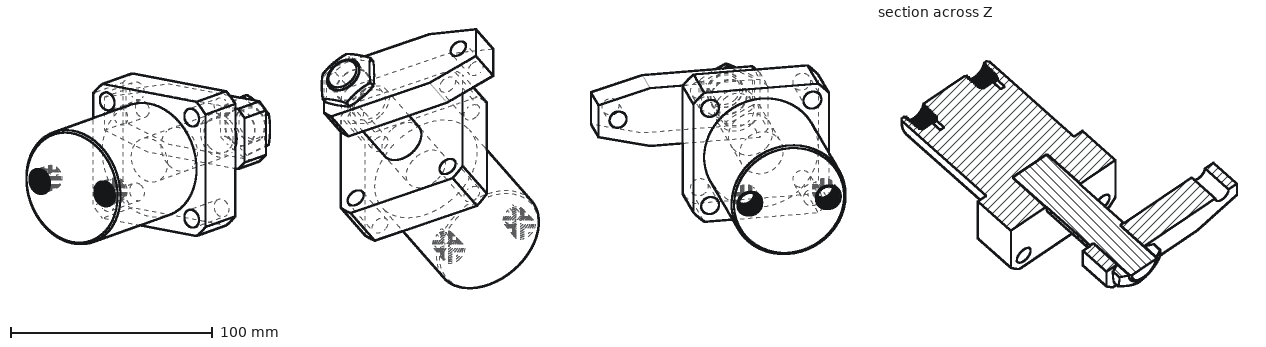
import cadquery as cq
import math


total_length = 151.0
total_width = 104.5

flange_width = 69.0
flange_thickness = 25.0
flange_corner_diameter = 90.0
mounting_hole_diameter = 9.0
mounting_hole_spacing = 52.0
barrel_diameter = 58.0
barrel_length = 65.0
barrel_chamfer = 1.0

port_spacing = 39.9
port_depth = 12.1
port_mouth_radius = 6.3
port_floor_radius = 4.8
thread_pitch = 1.4
thread_height = 0.9
thread_turns = 8
thread_end_radius = 5.9
passage_diameter = 2.3
passage_offset = 2.9
passage_depth = 6.0

rod_diameter = 22.3
rod_exposed_length = 33.0
stud_diameter = 18.0
stud_chamfer = 1.0

arm_thickness = 18.0
arm_height = 31.0
arm_tip_height = 17.0
arm_taper_start = 43.8
arm_heel = 16.0
arm_heel_chamfer = 4.1
arm_hole_diameter = 8.6
arm_hole_inset = 10.0

nut_width_across_flats = 27.0
nut_thickness = 9.0
nut_seat_radius = 9.4
nut_top_radius = 9.2
nut_rim_width = 3.2
nut_rim_start = 2.7

flange_back = barrel_length
flange_front = flange_back + flange_thickness
arm_back = flange_front + rod_exposed_length
arm_front = arm_back + arm_thickness

arm_tip = total_width - flange_width / 2


def rod_axis_plane(y):
    """Plane at height y along the rod axis: local x is X, local y is Z, normal toward -Y."""
    return cq.Plane(origin=(0, y, 0), xDir=(1, 0, 0), normal=(0, -1, 0))


def disc(y_start, y_end, diameter, x=0.0):
    """Cylinder along Y between two positions, centred at the given X and Z = 0."""
    base = cq.Workplane(rod_axis_plane(y_start)).center(x, 0)
    return base.circle(diameter / 2).extrude(y_start - y_end)


def turned(profile, x=0.0):
    """Solid of revolution about the line parallel to Y at the given X, from (radius, y) points."""
    solid = cq.Workplane("XY").polyline(profile).close().revolve(360, (0, 0, 0), (0, 1, 0))
    return solid.translate((x, 0, 0))


def make_port_cutter(x):
    """Tapered port whose thread is a row of V-shaped rings, with an off-centre oil passage."""
    mouth_taper = (port_mouth_radius - thread_end_radius) / thread_turns
    profile = [(0, 0), (port_mouth_radius, 0)]
    for turn in range(thread_turns):
        root_radius = port_mouth_radius - turn * mouth_taper
        profile.append((root_radius - thread_height, (turn + 0.5) * thread_pitch))
        profile.append((root_radius - mouth_taper, (turn + 1) * thread_pitch))
    profile += [
        (port_floor_radius, thread_turns * thread_pitch),
        (port_floor_radius, port_depth),
        (0, port_depth),
    ]
    passage = disc(port_depth, port_depth + passage_depth, passage_diameter, x - passage_offset)
    return turned(profile, x).union(passage)


def make_housing():
    """Square flange with its corners turned round, a barrel behind it and two ports in the closed end."""
    flange = (
        cq.Workplane(rod_axis_plane(flange_back))
        .rect(flange_width, flange_width)
        .extrude(-flange_thickness)
        .intersect(disc(flange_back, flange_front, flange_corner_diameter))
    )
    barrel = disc(0, barrel_length, barrel_diameter).faces("<Y").chamfer(barrel_chamfer)
    mounting_holes = (
        cq.Workplane(rod_axis_plane(flange_back))
        .rect(mounting_hole_spacing, mounting_hole_spacing, forConstruction=True)
        .vertices()
        .circle(mounting_hole_diameter / 2)
        .extrude(-flange_thickness)
    )
    rod_bore = disc(flange_back, flange_front, rod_diameter)
    housing = flange.union(barrel).cut(mounting_holes).cut(rod_bore)
    for side in (-1, 1):
        housing = housing.cut(make_port_cutter(side * port_spacing / 2))
    return housing


def make_rod():
    """Shaft that shoulders against the arm, with a thinner stud through the arm and nut."""
    shaft = disc(flange_back, arm_back, rod_diameter)
    stud = disc(arm_back, total_length, stud_diameter).faces(">Y").chamfer(stud_chamfer)
    return shaft.union(stud)


def make_arm():
    """Arm reaching toward -X, tapered to its tip, with a bevelled heel on the +X side."""
    heel_height = arm_height - 2 * arm_heel_chamfer
    upper_half = [
        (-arm_tip, arm_tip_height / 2),
        (-arm_taper_start, arm_height / 2),
        (arm_heel - arm_heel_chamfer, arm_height / 2),
        (arm_heel, heel_height / 2),
    ]
    lower_half = [(x, -z) for x, z in reversed(upper_half)]
    blank = (
        cq.Workplane(rod_axis_plane(arm_back))
        .polyline(upper_half + lower_half)
        .close()
        .extrude(-arm_thickness)
    )
    stud_hole = disc(arm_back, arm_front, stud_diameter)
    tip_hole = disc(arm_back, arm_front, arm_hole_diameter, arm_hole_inset - arm_tip)
    return blank.cut(stud_hole).cut(tip_hole)


def make_nut():
    """Hexagon nut with flats facing +X and -X, coned down to its seat and to its top face."""
    corner_radius = nut_width_across_flats / math.sqrt(3)
    hexagon = (
        cq.Workplane(rod_axis_plane(arm_front))
        .transformed(rotate=(0, 0, 90))
        .polygon(6, 2 * corner_radius)
        .extrude(-nut_thickness)
    )
    cones = turned([
        (0, arm_front),
        (nut_seat_radius, arm_front),
        (corner_radius, arm_front + nut_rim_start),
        (corner_radius, arm_front + nut_rim_start + nut_rim_width),
        (nut_top_radius, arm_front + nut_thickness),
        (0, arm_front + nut_thickness),
    ])
    thread_hole = disc(arm_front, total_length, stud_diameter)
    return hexagon.intersect(cones).cut(thread_hole)


housing = make_housing()
rod = make_rod()
arm = make_arm()
nut = make_nut()

result = cq.Compound.makeCompound([housing.val(), rod.val(), arm.val(), nut.val()])